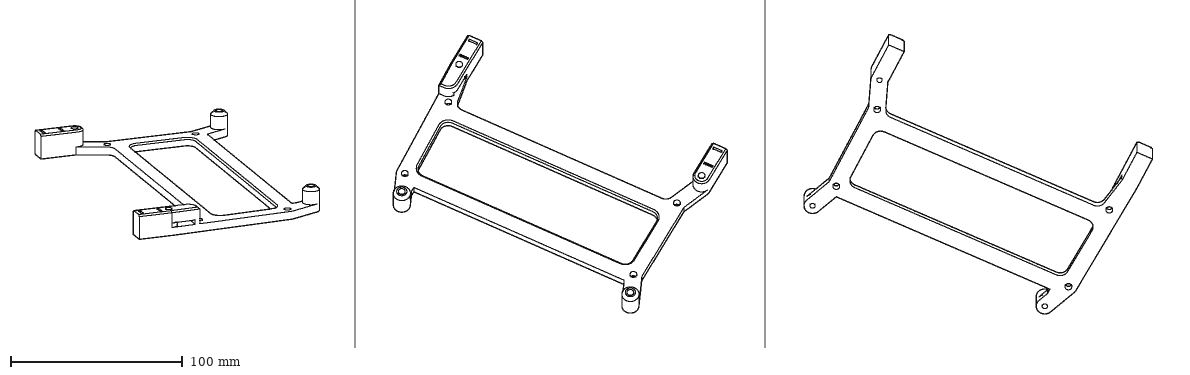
import cadquery as cq
import math

length_x = 170.5
depth_y = 118.0
height = 15.0

plate_thickness = 5.0
bar_width = 10.0
bar_radius = bar_width / 2
mount_hole_diameter = 4.0
mount_pitch_x = 150.0
mount_pitch_y = 55.0
lower_mount_y = 40.5
arm_offset_x = 7.0
upper_bar_top = 101.8
lower_bar_bottom = 41.8
edge_chamfer = 1.0
corner_step_x = 153.0
corner_step_top = 104.5

boss_chamfer = 2.0

bore_diameter = 4.0
bore_depth = 6.0
pilot_diameter = 3.0

left_foot_y = 22.8
right_foot_y = 20.3

tunnel_width = 5.5
tunnel_thickness = 1.2
tunnel_mean_radius = 5.8
tunnel_center_y = 8.7

extension_end_y = 38.0
extension_corner_radius = 6.0
gap_end_y = 35.1
gap_top = 7.7

left_end_x = bar_radius
left_mount_x = left_end_x + arm_offset_x
right_mount_x = left_mount_x + mount_pitch_x
upper_mount_y = lower_mount_y + mount_pitch_y
boss_y = depth_y - bar_radius

upper_left_mount = (left_mount_x, upper_mount_y)
lower_left_mount = (left_mount_x, lower_mount_y)
upper_right_mount = (right_mount_x, upper_mount_y)
lower_right_mount = (right_mount_x, lower_mount_y)
mounts = [upper_left_mount, lower_left_mount, upper_right_mount, lower_right_mount]

left_boss = (left_end_x, boss_y)
right_boss = (right_mount_x - arm_offset_x, boss_y)
left_foot = (left_end_x, left_foot_y)
right_foot = (length_x - bar_radius, right_foot_y)


def box(x_min, x_max, y_min, y_max, z_min, z_max):
    """Box given by its limits along each axis."""
    size = (x_max - x_min, y_max - y_min, z_max - z_min)
    return cq.Workplane("XY").box(*size, centered=False).translate((x_min, y_min, z_min))


def disc(center):
    """Round piece of the plate, as wide as the strips it joins."""
    return cq.Workplane("XY").center(*center).circle(bar_radius).extrude(plate_thickness)


def strip(start, end):
    """Square-ended strip of the plate joining two centers."""
    dx = end[0] - start[0]
    dy = end[1] - start[1]
    angle = math.degrees(math.atan2(dy, dx))
    flat = box(0, math.hypot(dx, dy), -bar_radius, bar_radius, 0, plate_thickness)
    return flat.rotate((0, 0, 0), (0, 0, 1), angle).translate((*start, 0))


def strip_edge_x(start, end, side, y):
    """X of a strip's long edge at height y; side is -1 for the left edge, 1 for the right."""
    dx = end[0] - start[0]
    dy = end[1] - start[1]
    center_x = start[0] + (y - start[1]) * dx / dy
    return center_x + side * bar_radius * math.hypot(dx, dy) / abs(dy)


def right_edge_point(side, y):
    """Point on a long edge of the strip that forms the right side of the frame."""
    return (strip_edge_x(upper_right_mount, right_foot, side, y), y)


def make_plate():
    """Frame plate with its four arms, window and mounting holes."""
    web_bottom = lower_mount_y - bar_radius
    plate = box(left_mount_x, right_mount_x, web_bottom, upper_bar_top, 0, plate_thickness)
    plate = plate.union(box(corner_step_x, right_mount_x - bar_radius, upper_mount_y, corner_step_top,
                            0, plate_thickness))
    strip_ends = [
        (left_boss, upper_left_mount),
        (upper_left_mount, lower_left_mount),
        (lower_left_mount, left_foot),
        (right_boss, upper_right_mount),
        (upper_right_mount, right_foot),
        (lower_right_mount, right_foot),
    ]
    for start, end in strip_ends:
        plate = plate.union(strip(start, end))
    for mount in mounts:
        plate = plate.union(disc(mount))

    opening = (
        cq.Workplane("XY")
        .polyline([
            (strip_edge_x(lower_left_mount, left_foot, 1, web_bottom), web_bottom),
            (strip_edge_x(lower_left_mount, left_foot, 1, lower_bar_bottom), lower_bar_bottom),
            (strip_edge_x(lower_right_mount, right_foot, -1, lower_bar_bottom), lower_bar_bottom),
            (strip_edge_x(lower_right_mount, right_foot, -1, web_bottom), web_bottom),
        ])
        .close()
        .extrude(plate_thickness)
        .edges("|Z and >Y")
        .fillet(bar_radius)
    )

    window_bottom = lower_bar_bottom + bar_width
    window_top = upper_bar_top - bar_width
    window_left = left_mount_x + bar_radius
    window = (
        cq.Workplane("XY")
        .polyline([
            (window_left, window_bottom),
            right_edge_point(-1, window_bottom),
            right_edge_point(-1, window_top),
            (window_left, window_top),
        ])
        .close()
        .extrude(plate_thickness)
        .edges("|Z")
        .fillet(bar_radius)
    )
    plate = plate.cut(opening).cut(window)

    window_side = (window_left, (window_bottom + window_top) / 2, plate_thickness)
    plate = plate.edges(cq.selectors.NearestToPointSelector(window_side)).chamfer(edge_chamfer)

    holes = cq.Workplane("XY").pushPoints(mounts).circle(mount_hole_diameter / 2).extrude(plate_thickness)
    return plate.cut(holes)


def make_boss(center):
    """Round boss with a conical top edge."""
    boss = cq.Workplane("XY").center(*center).circle(bar_radius).extrude(height)
    return boss.faces(">Z").chamfer(boss_chamfer)


def make_foot(center):
    """Foot block with a round inner end and a curved strap tunnel opening on its top."""
    x, y = center
    foot = (
        cq.Workplane("XY")
        .moveTo(x - bar_radius, 0)
        .lineTo(x + bar_radius, 0)
        .lineTo(x + bar_radius, y)
        .threePointArc((x, y + bar_radius), (x - bar_radius, y))
        .close()
        .extrude(height)
        .faces(">Z")
        .edges("not <Y")
        .chamfer(edge_chamfer)
    )
    tunnel = (
        cq.Workplane("YZ", origin=(x - tunnel_width / 2, tunnel_center_y, height))
        .circle(tunnel_mean_radius + tunnel_thickness / 2)
        .circle(tunnel_mean_radius - tunnel_thickness / 2)
        .extrude(tunnel_width)
    )
    return foot.cut(tunnel)


def make_extension():
    """Raised block running from the right foot along the right side, open underneath."""
    left = right_foot[0] - bar_radius
    extension = (
        cq.Workplane("XY", origin=(0, 0, plate_thickness))
        .moveTo(left, right_foot_y)
        .lineTo(*right_edge_point(1, right_foot_y))
        .lineTo(*right_edge_point(1, extension_end_y))
        .lineTo(left + extension_corner_radius, extension_end_y)
        .radiusArc((left, extension_end_y - extension_corner_radius), -extension_corner_radius)
        .close()
        .extrude(height - plate_thickness)
        .faces(">Z")
        .edges("not <Y")
        .chamfer(edge_chamfer)
    )
    gap = box(left, length_x, right_foot_y, gap_end_y, plate_thickness, gap_top)
    return extension.cut(gap)


def make_bore(center, pilot_bottom):
    """Stepped screw bore: wide at the top, with a narrower pilot below."""
    pilot = cq.Workplane("XY", origin=(*center, pilot_bottom)).circle(pilot_diameter / 2)
    bore = cq.Workplane("XY", origin=(*center, height - bore_depth)).circle(bore_diameter / 2)
    return pilot.extrude(height - pilot_bottom).union(bore.extrude(bore_depth))


result = make_plate()
for boss_center in (left_boss, right_boss):
    result = result.union(make_boss(boss_center))
for foot_center in (left_foot, right_foot):
    result = result.union(make_foot(foot_center))
result = result.union(make_extension())

for bore_center in (left_boss, right_boss, left_foot):
    result = result.cut(make_bore(bore_center, 0))
result = result.cut(make_bore(right_foot, plate_thickness))